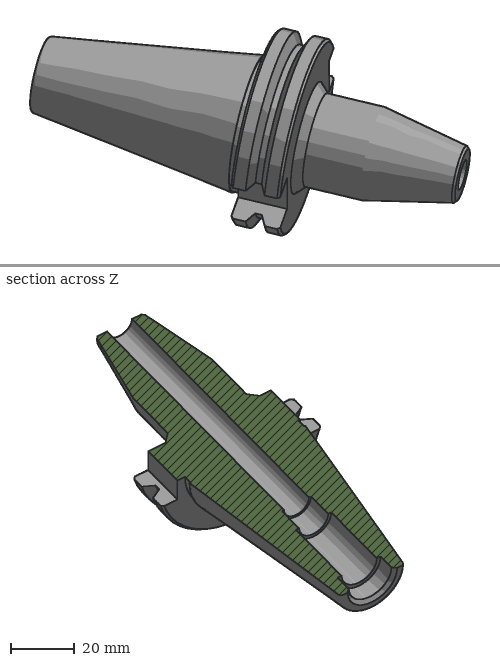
import cadquery as cq

total_length = 138.2

gauge_diameter = 44.5
taper_length = 68.3
taper_slope = 7 / 24
taper_end_round = 1.4
relief_diameter = 43.7

flange_diameter = 63.5
flange_start = 71.3
flange_end = 87.3
flange_chamfer = 0.8
groove_center = 79.3
groove_top_width = 6.2
groove_floor_width = 2.1
groove_depth = 3.7

slot_width = 16.6
slot_floor_front = 22.4
slot_floor_back = 24.7

nose_diameter = 30.3
nose_cone_start = 109.2
nose_root_chamfer = 3.0
tip_diameter = 18.5
tip_chamfer = 0.8

mouth_diameter = 18.9
mouth_depth = 1.2
entry_diameter = 16.3
entry_depth = 7.2
thread_diameter = 13.4
thread_depth = 32.0
runout_diameter = 11.0
runout_depth = 41.5
through_diameter = 9.5


def revolve_profile(points):
    """Close a list of (x, radius) points and revolve it about the X axis."""
    return cq.Workplane("XY").polyline(points).close().revolve(360, (0, 0, 0), (1, 0, 0))


def make_taper():
    gauge_radius = gauge_diameter / 2
    small_radius = gauge_radius - taper_length * taper_slope / 2
    taper = revolve_profile([
        (0, 0),
        (0, small_radius),
        (taper_length, gauge_radius),
        (taper_length, 0),
    ])
    return taper.faces("<X").edges().fillet(taper_end_round)


def make_flange():
    radius = flange_diameter / 2
    floor_radius = radius - groove_depth
    return revolve_profile([
        (flange_start, 0),
        (flange_start, radius - flange_chamfer),
        (flange_start + flange_chamfer, radius),
        (groove_center - groove_top_width / 2, radius),
        (groove_center - groove_floor_width / 2, floor_radius),
        (groove_center + groove_floor_width / 2, floor_radius),
        (groove_center + groove_top_width / 2, radius),
        (flange_end - flange_chamfer, radius),
        (flange_end, radius - flange_chamfer),
        (flange_end, 0),
    ])


def make_relief_and_nose():
    nose_radius = nose_diameter / 2
    tip_radius = tip_diameter / 2
    return revolve_profile([
        (taper_length, 0),
        (taper_length, relief_diameter / 2),
        (flange_start, relief_diameter / 2),
        (flange_end, nose_radius + nose_root_chamfer),
        (flange_end + nose_root_chamfer, nose_radius),
        (nose_cone_start, nose_radius),
        (total_length - tip_chamfer, tip_radius),
        (total_length, tip_radius - tip_chamfer),
        (total_length, 0),
    ])


def make_slot(side, floor_distance):
    """Slot cutter on the side of the flange at Y = side * floor_distance and beyond."""
    depth = flange_diameter / 2
    return cq.Workplane("XY").box(
        flange_end - flange_start, depth, slot_width
    ).translate(((flange_start + flange_end) / 2, side * (floor_distance + depth / 2), 0))


def make_bore():
    return revolve_profile([
        (0, 0),
        (0, mouth_diameter / 2),
        (mouth_depth, entry_diameter / 2),
        (entry_depth, entry_diameter / 2),
        (entry_depth, thread_diameter / 2),
        (thread_depth, thread_diameter / 2),
        (thread_depth, runout_diameter / 2),
        (runout_depth, runout_diameter / 2),
        (runout_depth, through_diameter / 2),
        (total_length, through_diameter / 2),
        (total_length, 0),
    ])


result = make_taper().union(make_relief_and_nose()).union(make_flange())
result = result.cut(make_slot(-1, slot_floor_front))
result = result.cut(make_slot(1, slot_floor_back))
result = result.cut(make_bore())